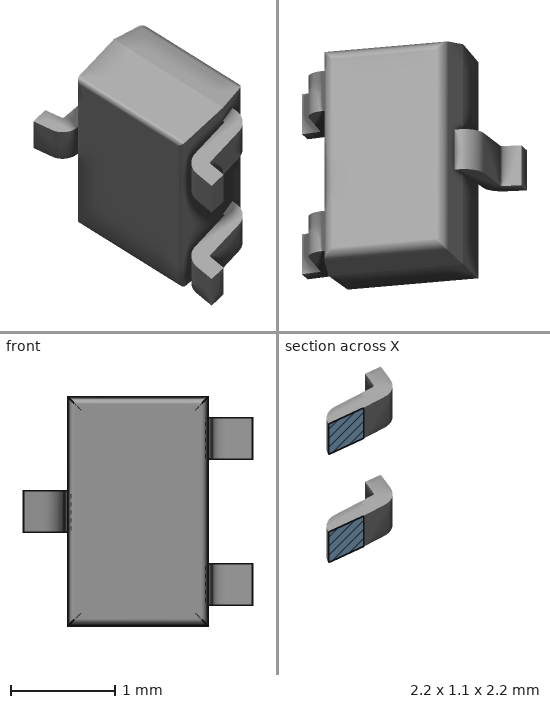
import cadquery as cq
import math

span = 2.2
height = 1.1
body_length = 2.2
body_width = 1.35

standoff = 0.1
parting_y = 0.7
lower_draft = 2.0
upper_draft = 10.0
lower_edge_radius = 0.05
upper_edge_radius = 0.1

lead_thickness = 0.18
lead_width = 0.4
lead_top_y = 0.878
lead_embedment = 0.2
leg_lean = math.radians(3.2)
foot_tilt = math.radians(8.0)
foot_length = 0.197
shoulder_inner_radius = 0.01
heel_inner_radius = 0.02
outer_bend_radius = heel_inner_radius + lead_thickness
pair_pitch = 1.4


def body_half(depth, draft, edge_radius, end_face):
    """Tapered block growing from the parting plane along Y; a positive depth grows toward +Y."""
    normal = (0, math.copysign(1, depth), 0)
    plane = cq.Plane(origin=(0, parting_y, 0), xDir=(1, 0, 0), normal=normal)
    block = cq.Workplane(plane).rect(body_width, body_length).extrude(abs(depth), taper=draft)
    return block.faces(end_face).edges().fillet(edge_radius)


def make_body():
    upper = body_half(height - parting_y, upper_draft, upper_edge_radius, ">Y")
    lower = body_half(standoff - parting_y, lower_draft, lower_edge_radius, "<Y")
    return upper.union(lower)


def offset_corner(corner, normal_a, normal_b):
    """Corner of the opposite strip surface, where the two offset lines meet."""
    scale = lead_thickness / (1 + normal_a[0] * normal_b[0] + normal_a[1] * normal_b[1])
    x = corner[0] + scale * (normal_a[0] + normal_b[0])
    y = corner[1] + scale * (normal_a[1] + normal_b[1])
    return (x, y)


def make_lead(z_center):
    """Lead leaving the body toward +X, centred on z_center."""
    root_x = body_width / 2 - lead_embedment
    tip_x = span / 2
    foot_rise = lead_thickness / math.cos(foot_tilt)

    tip_top = (tip_x, foot_rise)
    heel_top = (tip_x - foot_length, foot_rise + foot_length * math.tan(foot_tilt))
    shoulder_x = heel_top[0] - (lead_top_y - heel_top[1]) * math.tan(leg_lean)
    shoulder_top = (shoulder_x, lead_top_y)

    arm_normal = (0, -1)
    leg_normal = (-math.cos(leg_lean), -math.sin(leg_lean))
    foot_normal = (-math.sin(foot_tilt), -math.cos(foot_tilt))
    shoulder_bottom = offset_corner(shoulder_top, arm_normal, leg_normal)
    heel_bottom = offset_corner(heel_top, leg_normal, foot_normal)

    outline = [
        (root_x, lead_top_y),
        shoulder_top,
        heel_top,
        tip_top,
        (tip_x, 0),
        heel_bottom,
        shoulder_bottom,
        (root_x, lead_top_y - lead_thickness),
    ]
    strip_plane = cq.Workplane("XY", origin=(0, 0, z_center))
    lead = strip_plane.polyline(outline).close().extrude(lead_width / 2, both=True)

    bends = [
        (shoulder_top, outer_bend_radius),
        (heel_bottom, outer_bend_radius),
        (shoulder_bottom, shoulder_inner_radius),
        (heel_top, heel_inner_radius),
    ]
    for (x, y), radius in bends:
        corner_edge = cq.selectors.NearestToPointSelector((x, y, z_center))
        lead = lead.edges("|Z").edges(corner_edge).fillet(radius)
    return lead


def make_part():
    part = make_body()
    for z_center in (-pair_pitch / 2, pair_pitch / 2):
        part = part.union(make_lead(z_center))
    single_lead = make_lead(0).mirror("YZ")
    return part.union(single_lead)


result = make_part()